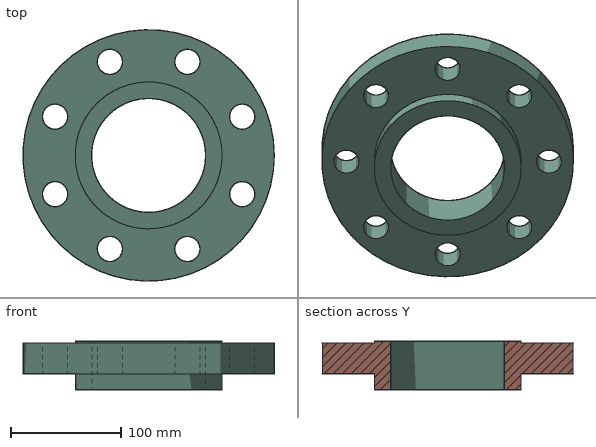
import cadquery as cq

flange_diameter = 228.5
face_diameter = 133.5
bore_diameter = 103.3
total_height = 44.3
hub_height = 14.5
raised_face_height = 1.5
flange_thickness = total_height - hub_height - raised_face_height

bolt_count = 8
bolt_circle_diameter = 184.0
bolt_hole_diameter = 22.6
first_bolt_angle = 360 / bolt_count / 2

core = cq.Workplane("XY").circle(face_diameter / 2).extrude(total_height)
flange = (
    cq.Workplane("XY", origin=(0, 0, hub_height))
    .circle(flange_diameter / 2)
    .extrude(flange_thickness)
)

bore = cq.Workplane("XY").circle(bore_diameter / 2).extrude(total_height)

bolt_holes = (
    cq.Workplane("XY")
    .polarArray(bolt_circle_diameter / 2, first_bolt_angle, 360, bolt_count)
    .circle(bolt_hole_diameter / 2)
    .extrude(total_height)
)

result = core.union(flange).cut(bore).cut(bolt_holes)